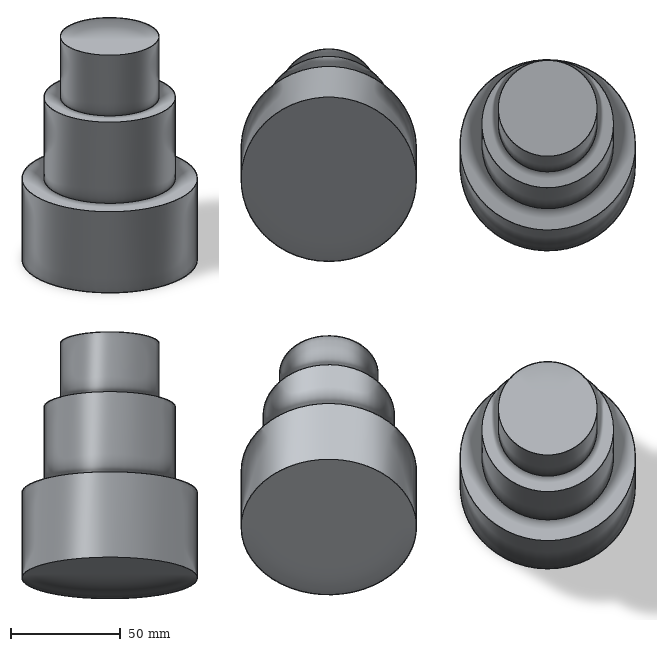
import cadquery as cq

total_height = 110.0
base_diameter = 80.0
base_height = 40.0
middle_diameter = 60.0
middle_height = base_height
top_diameter = 45.0
top_height = total_height - base_height - middle_height


def add_step(body, diameter, height):
    """Stack a cylinder centred on the top face of the body."""
    return body.faces(">Z").workplane().circle(diameter / 2).extrude(height)


base = cq.Workplane("XY").circle(base_diameter / 2).extrude(base_height)
lower_steps = add_step(base, middle_diameter, middle_height)
result = add_step(lower_steps, top_diameter, top_height)